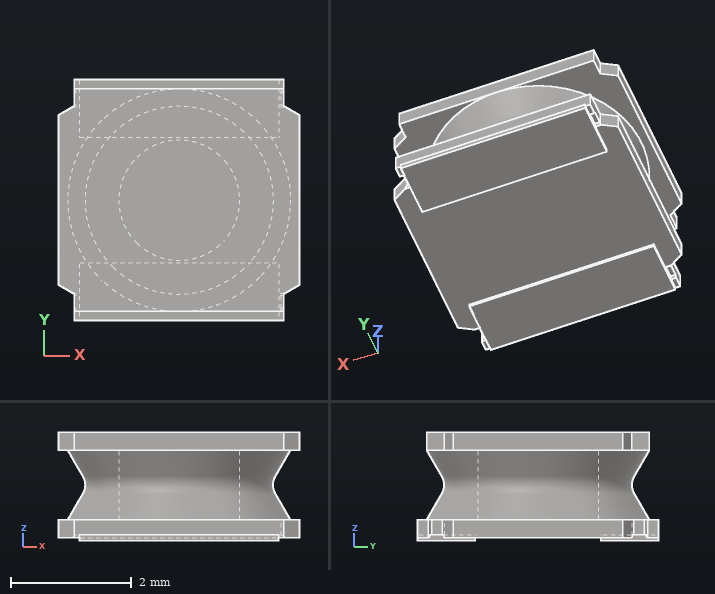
import cadquery as cq
import math

SIDE = 4.0
TOTAL_HEIGHT = 1.8

FLANGE_THICKNESS = 0.3
TOP_FLANGE_DEPTH = 3.695
POST_DIAMETER = 2.0
CORNER_NOTCH_X = 0.26
CORNER_NOTCH_Y = 0.59
CORNER_NOTCH_ANGLE = 30.0

TERMINAL_LENGTH = 3.3
TERMINAL_WIDTH = 0.96
TERMINAL_THICKNESS = 0.1

GROOVE_EDGE_OFFSET = 0.19
GROOVE_MOUTH = 0.265
GROOVE_SIDE_ANGLE = 60.0

PASS_DEPTH = 0.055
PASS_EDGE_OFFSET = 0.185

FILLER_DIAMETER = TOP_FLANGE_DEPTH
FILLER_SLOPE = 30.0
WAIST_RADIUS = 0.29

CORE_BOTTOM = TERMINAL_THICKNESS / 2
GAP_BOTTOM = CORE_BOTTOM + FLANGE_THICKNESS
GAP_TOP = TOTAL_HEIGHT - FLANGE_THICKNESS
GAP_HEIGHT = GAP_TOP - GAP_BOTTOM
TERMINAL_Y = (SIDE - TERMINAL_WIDTH) / 2
FLANGE_END_X = SIDE / 2 - CORNER_NOTCH_X
NOTCH_SLOPE = math.tan(math.radians(CORNER_NOTCH_ANGLE))
NOTCH_OUTER_Y = SIDE / 2 - CORNER_NOTCH_Y
NOTCH_INNER_Y = NOTCH_OUTER_Y + CORNER_NOTCH_X * NOTCH_SLOPE
GROOVE_DEPTH = TERMINAL_THICKNESS - CORE_BOTTOM
GROOVE_SIDE_RUN = GROOVE_DEPTH / math.tan(math.radians(GROOVE_SIDE_ANGLE))


def make_flange(depth, bottom):
    """Plate of the given Y depth whose four corners are notched."""
    half_x = SIDE / 2
    half_y = depth / 2
    quarter = [(half_x, NOTCH_OUTER_Y), (FLANGE_END_X, NOTCH_INNER_Y), (FLANGE_END_X, half_y)]
    right_half = [(x, -y) for x, y in reversed(quarter)] + quarter
    left_half = [(-x, -y) for x, y in right_half]
    outline = cq.Workplane("XY").workplane(offset=bottom).polyline(right_half + left_half)
    return outline.close().extrude(FLANGE_THICKNESS)


def make_terminal(side):
    """Flat terminal plate at the -Y (side = -1) or +Y (side = 1) edge."""
    plate = cq.Workplane("XY").box(
        TERMINAL_LENGTH, TERMINAL_WIDTH, TERMINAL_THICKNESS, centered=(True, True, False)
    )
    return plate.translate((0, side * TERMINAL_Y, 0))


def make_wire_groove(side):
    """Trapezoid cutter through the underside of the core along one terminal."""
    outer_y = SIDE / 2 - GROOVE_EDGE_OFFSET
    inner_y = outer_y - GROOVE_MOUTH
    section = [
        (side * outer_y, CORE_BOTTOM),
        (side * (outer_y - GROOVE_SIDE_RUN), TERMINAL_THICKNESS),
        (side * (inner_y + GROOVE_SIDE_RUN), TERMINAL_THICKNESS),
        (side * inner_y, CORE_BOTTOM),
    ]
    return cq.Workplane("YZ").polyline(section).close().extrude(SIDE / 2, both=True)


def make_wire_pass(side):
    """Cutter through the lower flange that continues the notch slope inward."""
    floor_x = FLANGE_END_X - PASS_DEPTH
    outer_y = SIDE / 2 - PASS_EDGE_OFFSET
    section = [
        (FLANGE_END_X, side * NOTCH_INNER_Y),
        (floor_x, side * (NOTCH_INNER_Y + PASS_DEPTH * NOTCH_SLOPE)),
        (floor_x, side * (outer_y - PASS_DEPTH)),
        (FLANGE_END_X, side * outer_y),
    ]
    outline = cq.Workplane("XY").workplane(offset=CORE_BOTTOM).polyline(section)
    return outline.close().extrude(FLANGE_THICKNESS)


def make_core():
    """Drum core with recesses for the terminals and grooves and passes for the wire ends."""
    post = cq.Workplane("XY").workplane(offset=GAP_BOTTOM).circle(POST_DIAMETER / 2).extrude(GAP_HEIGHT)
    core = make_flange(SIDE, CORE_BOTTOM).union(post).union(make_flange(TOP_FLANGE_DEPTH, GAP_TOP))
    for side in (-1, 1):
        core = core.cut(make_terminal(side)).cut(make_wire_groove(side)).cut(make_wire_pass(side))
    return core


def make_filler():
    """Ring between the flanges; its waist arc runs tangent into both cones."""
    slope = math.radians(FILLER_SLOPE)
    middle = (GAP_BOTTOM + GAP_TOP) / 2
    tangent_rise = WAIST_RADIUS * math.sin(slope)
    tangent_r = FILLER_DIAMETER / 2 - (GAP_HEIGHT / 2 - tangent_rise) * math.tan(slope)
    waist_r = tangent_r - WAIST_RADIUS * (1 - math.cos(slope))
    profile = (
        cq.Workplane("XZ")
        .moveTo(POST_DIAMETER / 2, GAP_BOTTOM)
        .lineTo(FILLER_DIAMETER / 2, GAP_BOTTOM)
        .lineTo(tangent_r, middle - tangent_rise)
        .threePointArc((waist_r, middle), (tangent_r, middle + tangent_rise))
        .lineTo(FILLER_DIAMETER / 2, GAP_TOP)
        .lineTo(POST_DIAMETER / 2, GAP_TOP)
        .close()
    )
    return profile.revolve(360, (0, 0, 0), (0, 1, 0))


core = make_core()
filler = make_filler()
terminals = [make_terminal(side) for side in (-1, 1)]

result = cq.Compound.makeCompound(
    [core.val(), filler.val(), *[terminal.val() for terminal in terminals]]
)